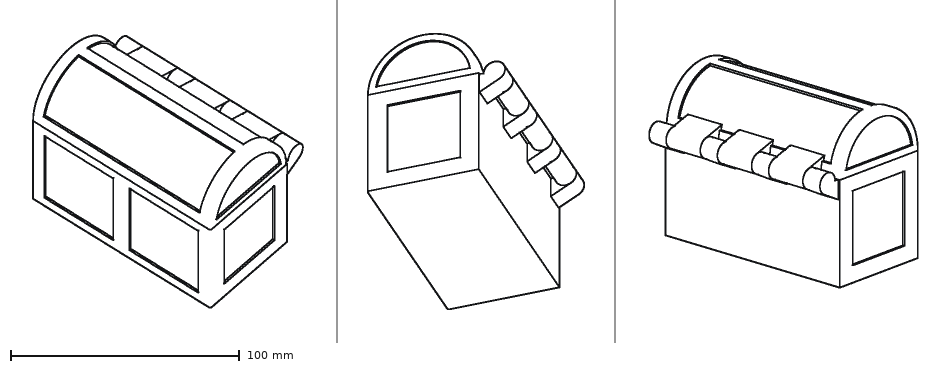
import cadquery as cq
import math

length = 102.0
base_height = 50.0
lid_radius = 26.0
edge_radius = 1.0
panel_depth = 1.0

front_panel_width = 39.4
front_panel_height = 39.6
front_panel_bottom = 5.2
front_panel_spacing = 48.7
side_panel_width = 34.1
side_panel_height = 34.7
side_panel_bottom = 8.1
side_panel_offset = 0.4

lid_panel_length = 89.2
lid_panel_offset = -0.4
lid_panel_rise = 5.9
front_lid_panel_limit = 1.5
back_lid_panel_limit = 4.3
end_panel_radius = 22.1
end_panel_rise = 3.5

knuckle_radius = 5.0
hinge_gap = 6.9
hinge_axis_y = lid_radius + hinge_gap
knuckle_length = 10.0
lid_knuckle_length = 2 * knuckle_length
lid_knuckle_count = 3
knuckle_pitch = knuckle_length + lid_knuckle_length
hinge_length = lid_knuckle_count * knuckle_pitch + knuckle_length
base_arm_drop = 9.3
lid_arm_rise = 7.4
lid_arm_embed = 3.6


def block(x_range, y_range, z_range):
    """Box between the given limits."""
    size = [high - low for low, high in (x_range, y_range, z_range)]
    corner = (x_range[0], y_range[0], z_range[0])
    return cq.Workplane("XY").box(*size, centered=False).translate(corner)


def cylinder_along_x(radius, x_start, x_length, y, z):
    return cq.Workplane("YZ", origin=(x_start, 0, 0)).center(y, z).circle(radius).extrude(x_length)


def knuckle(x_start, x_length, arm_height, embed):
    """Hinge cylinder with an arm tangent to it.

    The arm edge meets the back plane of the chest arm_height above the parting plane
    (below it if negative), and the arm runs on past that plane by embed.
    """
    side = math.copysign(1, arm_height)
    rise = abs(arm_height)
    slope = math.atan2(rise, hinge_gap) - math.asin(knuckle_radius / math.hypot(hinge_gap, rise))
    tangent_y = hinge_axis_y + knuckle_radius * math.sin(slope)
    tangent_rise = knuckle_radius * math.cos(slope)
    root_y = lid_radius - embed
    root_rise = rise + embed * math.tan(slope)
    arm = (
        cq.Workplane("YZ", origin=(x_start, 0, base_height))
        .moveTo(hinge_axis_y, 0)
        .lineTo(tangent_y, side * tangent_rise)
        .lineTo(root_y, side * root_rise)
        .lineTo(root_y, 0)
        .close()
        .extrude(x_length)
    )
    return cylinder_along_x(knuckle_radius, x_start, x_length, hinge_axis_y, base_height).union(arm)


def base_panels():
    """Cutters for the two front panels and one panel on each end."""
    cutters = []
    for side in (-1, 1):
        front_x = side * front_panel_spacing / 2
        cutters.append(
            block(
                (front_x - front_panel_width / 2, front_x + front_panel_width / 2),
                (-lid_radius, -lid_radius + panel_depth),
                (front_panel_bottom, front_panel_bottom + front_panel_height),
            )
        )
        end_x = side * length / 2
        cutters.append(
            block(
                sorted((end_x, end_x - side * panel_depth)),
                (side_panel_offset - side_panel_width / 2, side_panel_offset + side_panel_width / 2),
                (side_panel_bottom, side_panel_bottom + side_panel_height),
            )
        )
    return cutters


def make_base():
    base = block((-length / 2, length / 2), (-lid_radius, lid_radius), (0, base_height))
    base = base.edges("|Z and <Y").fillet(edge_radius)
    for cutter in base_panels():
        base = base.cut(cutter)

    for index in range(lid_knuckle_count + 1):
        x_start = -hinge_length / 2 + index * knuckle_pitch
        base = base.union(knuckle(x_start, knuckle_length, -base_arm_drop, 0))
    return base


def lid_curved_panel(y_range):
    """Cutter that sinks the curved face of the lid within y_range."""
    x_start = lid_panel_offset - lid_panel_length / 2
    window = block(
        (x_start, x_start + lid_panel_length),
        y_range,
        (base_height + lid_panel_rise, base_height + 2 * lid_radius),
    )
    floor = cylinder_along_x(lid_radius - panel_depth, x_start, lid_panel_length, 0, base_height)
    return window.cut(floor)


def lid_end_panel(side):
    """Cutter for the rounded panel in one end of the lid."""
    x_start = min(side * length / 2, side * (length / 2 - panel_depth))
    half_width = math.sqrt(end_panel_radius**2 - end_panel_rise**2)
    return (
        cq.Workplane("YZ", origin=(x_start, 0, base_height))
        .moveTo(-half_width, end_panel_rise)
        .threePointArc((0, end_panel_radius), (half_width, end_panel_rise))
        .close()
        .extrude(panel_depth)
    )


def make_lid():
    lid = (
        cq.Workplane("YZ", origin=(-length / 2, 0, base_height))
        .moveTo(-lid_radius, 0)
        .threePointArc((0, lid_radius), (lid_radius, 0))
        .close()
        .extrude(length)
    )
    lid = lid.edges("%CIRCLE").fillet(edge_radius)
    lid = lid.cut(lid_curved_panel((-lid_radius, -front_lid_panel_limit)))
    lid = lid.cut(lid_curved_panel((back_lid_panel_limit, lid_radius)))
    for side in (-1, 1):
        lid = lid.cut(lid_end_panel(side))

    for index in range(lid_knuckle_count):
        x_start = -hinge_length / 2 + knuckle_length + index * knuckle_pitch
        lid = lid.union(knuckle(x_start, lid_knuckle_length, lid_arm_rise, lid_arm_embed))
    return lid


base = make_base()
lid = make_lid()

result = cq.Compound.makeCompound([base.solids().val(), lid.solids().val()])